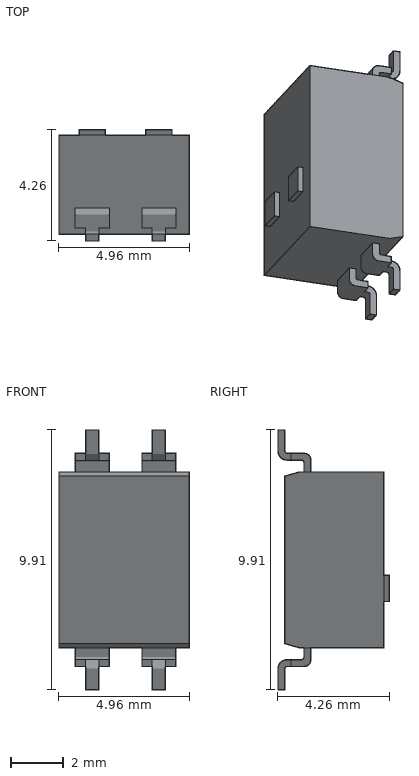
import cadquery as cq

body_width = 4.96
body_depth = 3.79
body_height = 6.7
bevel_depth = 0.55
bevel_drop = 0.16

overall_height = 9.91
lead_thickness = 0.27
lead_pitch = 2.54
first_lead_inset = 1.27
lead_wide = 1.3
lead_narrow = 0.51
foot_protrusion = 0.26
root_back_offset = 1.0
shoulder_end_offset = 0.24
shelf_drop = 0.89
root_embed = 0.3
inner_bend_radius = 0.09
root_outer_radius = 0.25
foot_outer_radius = inner_bend_radius + lead_thickness

pad_side = 1.0
pad_thickness = 0.21
pad_height = 1.76

depth_overall = foot_protrusion + body_depth + pad_thickness
foot_front_y = -depth_overall / 2
body_front_y = foot_front_y + foot_protrusion
body_back_y = body_front_y + body_depth
half_height = body_height / 2
lead_x = [-body_width / 2 + first_lead_inset + i * lead_pitch for i in range(2)]


def make_body():
    """Block with a shallow bevel along the top and bottom front edges."""
    bevel_z = half_height - bevel_drop
    bevel_y = body_front_y + bevel_depth
    outline = [
        (body_back_y, -half_height),
        (body_back_y, half_height),
        (bevel_y, half_height),
        (body_front_y, bevel_z),
        (body_front_y, -bevel_z),
        (bevel_y, -half_height),
    ]
    return cq.Workplane("YZ").polyline(outline).close().extrude(body_width / 2, both=True)


def bent_strip(width):
    """Z-shaped strip of the top lead: root, shelf and foot, with rounded bends."""
    tip_z = overall_height / 2
    shelf_top_z = tip_z - shelf_drop
    shelf_bottom_z = shelf_top_z - lead_thickness
    root_z = half_height - root_embed
    root_back_y = body_front_y + root_back_offset
    root_front_y = root_back_y - lead_thickness
    foot_back_y = foot_front_y + lead_thickness
    return (
        cq.Workplane("YZ")
        .moveTo(root_back_y, root_z)
        .lineTo(root_back_y, shelf_top_z - root_outer_radius)
        .radiusArc((root_back_y - root_outer_radius, shelf_top_z), -root_outer_radius)
        .lineTo(foot_back_y + inner_bend_radius, shelf_top_z)
        .radiusArc((foot_back_y, shelf_top_z + inner_bend_radius), inner_bend_radius)
        .lineTo(foot_back_y, tip_z)
        .lineTo(foot_front_y, tip_z)
        .lineTo(foot_front_y, shelf_bottom_z + foot_outer_radius)
        .radiusArc((foot_front_y + foot_outer_radius, shelf_bottom_z), -foot_outer_radius)
        .lineTo(root_front_y - inner_bend_radius, shelf_bottom_z)
        .radiusArc((root_front_y, shelf_bottom_z - inner_bend_radius), inner_bend_radius)
        .lineTo(root_front_y, root_z)
        .close()
        .extrude(width / 2, both=True)
    )


def make_top_lead():
    """Lead that is wide behind the shoulder and narrow from there to the foot tip."""
    shoulder_y = body_front_y + shoulder_end_offset
    behind_shoulder = cq.Workplane("XY").box(
        lead_wide, body_depth, overall_height, centered=(True, False, True)
    ).translate((0, shoulder_y, 0))
    return bent_strip(lead_wide).intersect(behind_shoulder).union(bent_strip(lead_narrow))


def make_pad():
    """Square pad standing on the back face of the body."""
    return cq.Workplane("XY").box(
        pad_side, pad_thickness, pad_side, centered=(True, False, False)
    ).translate((0, body_back_y, pad_height - half_height))


top_lead = make_top_lead()
bottom_lead = top_lead.mirror("XY")
pad = make_pad()

result = make_body()
for x in lead_x:
    for feature in (top_lead, bottom_lead, pad):
        result = result.union(feature.translate((x, 0, 0)))